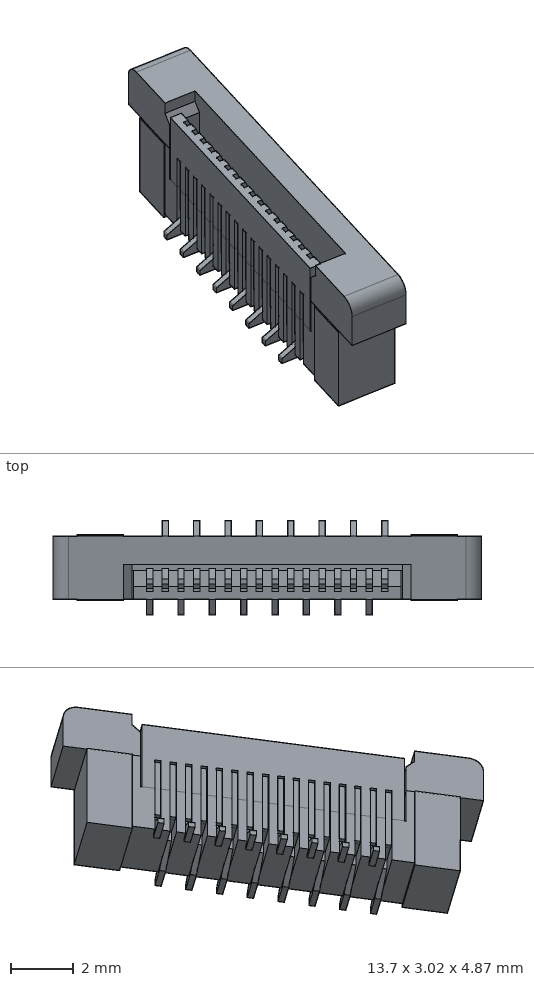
import cadquery as cq
import math

slider_length = 13.65
slider_depth = 2.02
slider_top = 4.87
slider_bottom = 3.15
ear_radius = 0.49

opening_half_width = 4.59
guide_half_width = 4.31
guide_chamfer_top = 4.44
guide_chamfer_bottom = guide_chamfer_top - (opening_half_width - guide_half_width)
opening_back = 0.11

base_bottom = 0.15
block_outer = 6.06
block_inner = 4.59
block_depth = 2.1
block_bottom = 0.03
recess_floor = 1.87
front_face = -slider_depth / 2

wall_half_width = 4.26
wall_top = 4.5
wall_top_back = -0.6
wall_back = -0.08

contact_count = 16
contact_span = 7.5
contact_pitch = contact_span / (contact_count - 1)
contact_width = 0.2
slot_top = 3.07
beam_face = -0.9
beam_bottom = 0.86
stem_face = -0.76
leg_underside_top = 0.49

head_bottom = slider_bottom
head_tip = -0.03
head_peak_back = -0.35
head_peak_front = -0.52
head_peak = 3.73
head_shoulder = -0.65
head_shoulder_height = 3.65

overall_depth = 3.02
foot_reach = overall_depth / 2
foot_tip_height = 0.2
foot_slope = math.radians(28)
foot_tip_radius = 0.05
stem_root = -0.79
stem_root_height = foot_tip_height + (foot_reach + stem_root) * math.tan(foot_slope)
stem_root_radius = 0.12
leg_face = -stem_face - leg_underside_top / math.tan(foot_slope)


def block(x_range, y_range, z_range):
    """Box between two limits on each axis."""
    sizes = [high - low for low, high in (x_range, y_range, z_range)]
    corner = (x_range[0], y_range[0], z_range[0])
    return cq.Workplane("XY").box(*sizes, centered=False).translate(corner)


def side_profile(points, width):
    """Extrude a closed (y, z) outline along X, centred on X = 0."""
    return cq.Workplane("YZ").polyline(points).close().extrude(width / 2, both=True)


def make_slider():
    bar = block(
        (-slider_length / 2, slider_length / 2),
        (front_face, -front_face),
        (slider_bottom, slider_top),
    )
    bar = bar.edges("|Y and >Z").fillet(ear_radius)
    opening = (
        cq.Workplane("XZ", origin=(0, opening_back, 0))
        .polyline([
            (-guide_half_width, slider_bottom),
            (-guide_half_width, guide_chamfer_bottom),
            (-opening_half_width, guide_chamfer_top),
            (-opening_half_width, slider_top),
            (opening_half_width, slider_top),
            (opening_half_width, guide_chamfer_top),
            (guide_half_width, guide_chamfer_bottom),
            (guide_half_width, slider_bottom),
        ])
        .close()
        .extrude(opening_back - front_face)
    )
    return bar.cut(opening)


def make_base():
    """Housing base with its end blocks and the recess for the front wall."""
    base = block(
        (-block_inner, block_inner),
        (front_face, -front_face),
        (base_bottom, slider_bottom),
    )
    recess = block(
        (-guide_half_width, guide_half_width),
        (front_face, wall_back),
        (recess_floor, slider_bottom),
    )
    base = base.cut(recess)
    for x_range in ((-block_outer, -block_inner), (block_inner, block_outer)):
        end_block = block(x_range, (-block_depth / 2, block_depth / 2), (block_bottom, slider_bottom))
        base = base.union(end_block)
    return base


def make_front_wall():
    """Wall with a sloped back that leads the cable in."""
    outline = [
        (front_face, recess_floor),
        (front_face, wall_top),
        (wall_top_back, wall_top),
        (wall_back, slider_bottom),
        (wall_back, recess_floor),
    ]
    return side_profile(outline, 2 * wall_half_width)


def make_front_slot():
    """Slot up the front of the housing that holds one contact."""
    return block(
        (-contact_width / 2, contact_width / 2),
        (front_face, stem_face),
        (0, slot_top),
    )


def make_beam():
    """Straight upper part of a contact, set back in its slot."""
    return block(
        (-contact_width / 2, contact_width / 2),
        (beam_face, stem_face),
        (beam_bottom, slot_top),
    )


def make_rear_leg_clearance():
    """Space behind a slot, in front of and below the slanted leg of a rear contact."""
    outline = [
        (stem_face, 0),
        (stem_face, beam_bottom),
        (leg_face, beam_bottom),
        (leg_face, leg_underside_top),
        (-stem_face, 0),
    ]
    return side_profile(outline, contact_width)


def make_head_notch():
    outline = [
        (stem_face, head_bottom),
        (stem_face, wall_top),
        (wall_back, wall_top),
        (wall_back, head_bottom),
    ]
    return side_profile(outline, contact_width)


def make_head():
    """Raised contact point whose tip reaches into the cable gap."""
    outline = [
        (stem_face, head_bottom),
        (stem_face, head_shoulder_height),
        (head_shoulder, head_shoulder_height),
        (head_peak_front, head_peak),
        (head_peak_back, head_peak),
        (head_tip, head_bottom),
    ]
    return side_profile(outline, contact_width)


def make_front_foot():
    """Stem and sloped solder foot that reaches out in front of the housing."""
    outline = [
        (stem_face, 0),
        (-foot_reach, 0),
        (-foot_reach, foot_tip_height),
        (stem_root, stem_root_height),
        (stem_face, beam_bottom),
    ]
    foot = side_profile(outline, contact_width)
    root_edge = cq.selectors.NearestToPointSelector((0, stem_root, stem_root_height))
    foot = foot.edges(root_edge).fillet(stem_root_radius)
    tip_edge = cq.selectors.NearestToPointSelector((0, -foot_reach, foot_tip_height))
    return foot.edges(tip_edge).fillet(foot_tip_radius)


def make_rear_foot():
    """Front foot turned to the rear, with a leg slanting down to it."""
    foot = make_front_foot().rotate((0, 0, 0), (0, 0, 1), 180)
    leg_outline = [
        (leg_face, leg_underside_top),
        (-stem_face, 0),
        (-stem_face, leg_underside_top),
    ]
    leg = side_profile(leg_outline, contact_width)
    return foot.union(leg)


def make_housing():
    """Base, front wall and contacts as one body, with feet alternating front and rear."""
    base = make_base()
    wall = make_front_wall()
    slot = make_front_slot()
    head_notch = make_head_notch()
    head = make_head()
    beam = make_beam()
    leg_clearance = make_rear_leg_clearance()
    front_foot = make_front_foot()
    rear_foot = make_rear_foot()

    places = [(index * contact_pitch - contact_span / 2, 0, 0) for index in range(contact_count)]
    for index, place in enumerate(places):
        wall = wall.cut(slot.translate(place))
        wall = wall.cut(head_notch.translate(place))
        wall = wall.union(head.translate(place))
        base = base.cut(slot.translate(place))
        if index % 2 == 0:
            base = base.union(front_foot.translate(place))
        else:
            base = base.cut(leg_clearance.translate(place))
            base = base.union(rear_foot.translate(place))

    housing = base.union(wall, clean=False)
    for place in places:
        housing = housing.union(beam.translate(place), clean=False)
    return housing


slider = make_slider()
housing = make_housing()

result = cq.Compound.makeCompound([slider.val(), *housing.solids().vals()])